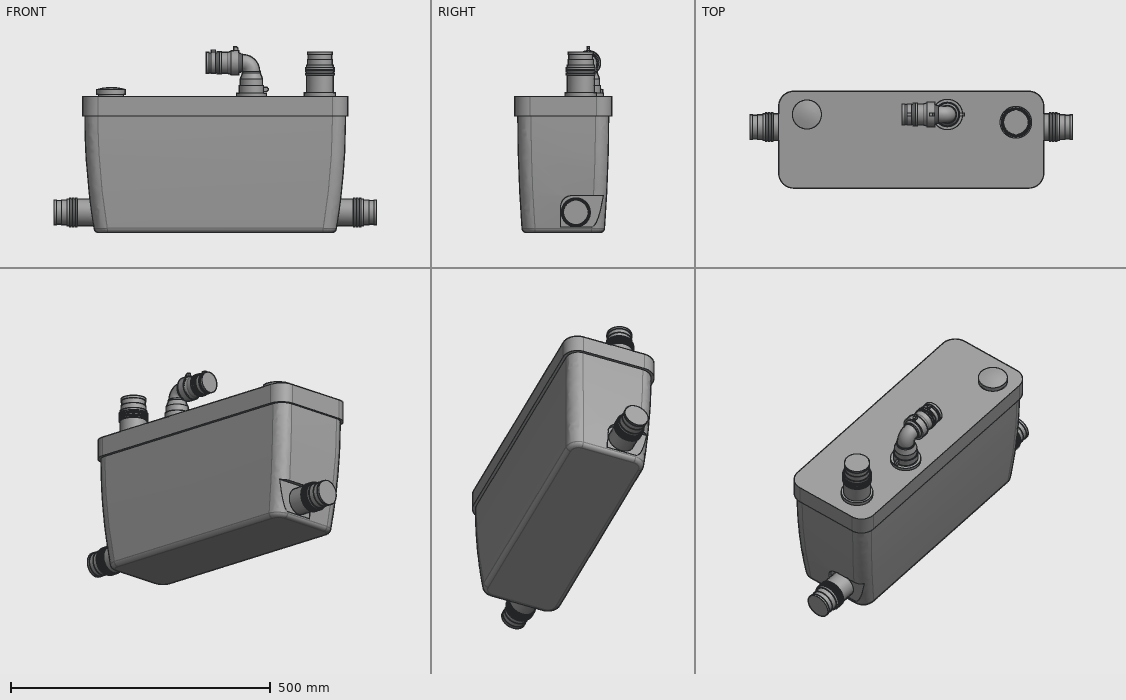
import cadquery as cq
import math

OVERALL_LENGTH = 622.0

LID_LENGTH = 511.0
LID_DEPTH = 187.0
LID_BOTTOM_Z = 224.5
LID_TOP_Z = 262.5
LID_CORNER_RADIUS = 30.0

TANK_TOP_LENGTH = 502.5
TANK_TOP_DEPTH = 175.5
END_WALL_INSET = 19.0
SIDE_WALL_INSET = 9.0
TANK_CORNER_RADIUS = 25.5
FLOOR_FILLET = 9.5

PIPE_RADIUS = 26.0
SIDE_INLET_Y = 24.0
SIDE_INLET_Z = 39.0
RECESS_FLOOR_X = 234.0
RECESS_EDGE_Y = -5.0
RECESS_BOTTOM_Z = 11.0
RECESS_TOP_Z = 71.5
RECESS_CORNER_RADIUS = 22.0
TOP_INLET_X = 201.5
TOP_INLET_Y = 33.5
TOP_INLET_TIP_Z = 348.5
INLET_COLLAR_RADIUS = 30.5
INLET_COLLAR_HEIGHT = 7.5

SLEEVE_LENGTH = 46.0
SLEEVE_RADIUS = 24.0
SLEEVE_NECK_RADIUS = 23.0
SLEEVE_LIP_LENGTH = 5.0
SLEEVE_NECK_END = 15.0
SLEEVE_SHOULDER = 25.5
SLEEVE_RIB_RADIUS = 28.0
SLEEVE_RIB_WIDTH = 3.0
SLEEVE_RIB_START = 30.5
SLEEVE_RIB_PITCH = 5.5
SLEEVE_RIB_COUNT = 3

CAP_X = -201.0
CAP_Y = 48.5
CAP_NECK_RADIUS = 24.0
CAP_NECK_HEIGHT = 4.0
CAP_RADIUS = 28.0
CAP_RIM_HEIGHT = 9.5
CAP_DOME_HEIGHT = 4.5

ELBOW_X = 69.5
ELBOW_Y = CAP_Y
ELBOW_AXIS_Z = 327.0
ELBOW_COLLAR_RADIUS = 29.0
ELBOW_COLLAR_HEIGHT = 6.0
BEND_RADIUS = 17.0
BEND_TUBE_RADIUS = 16.0
BEND_RING_RADIUS = 17.5
BEND_RING_LENGTH = 3.0
ELBOW_BASE_RADIUS = 22.0
ELBOW_BASE_TOP_Z = 296.0
ELBOW_MOUTH_RADIUS = 20.0
ELBOW_MOUTH_X = 30.5

VALVE_TIP_X = -17.5
VALVE_RADIUS = 20.5
VALVE_NECK_RADIUS = 19.0
VALVE_LIP_LENGTH = 5.5
VALVE_BAND_RADIUS = 22.0
VALVE_BAND_START_X = 3.0
VALVE_BAND_LENGTH = 9.5
VALVE_BAND_GROOVE_WIDTH = 1.0
VALVE_FLARE_X = 23.5
VALVE_FLARE_RADIUS = 22.5
VALVE_LUG_START_X = -8.0
VALVE_LUG_LENGTH = 9.0
VALVE_LUG_TOP_Z = 352.0

CLAMP_RADIUS = 23.5
CLAMP_WIDTH = 15.0
LUG_THICKNESS = 5.0
LUG_LENGTH = 9.0
LUG_CHAMFER = 3.0
BASE_LUG_REACH = 33.0
MOUTH_LUG_REACH = 31.0
MOUTH_LUG_OFFSET = 2.0

LID_COLLAR_TOP_Z = LID_TOP_Z + ELBOW_COLLAR_HEIGHT
SLEEVE_INNER_END_X = OVERALL_LENGTH / 2 - SLEEVE_LENGTH
TOP_PIPE_END_Z = TOP_INLET_TIP_Z - SLEEVE_LENGTH
END_SIDES = (-1, 1)


def disc(x, y, bottom_z, radius, height):
    """An upright cylinder."""
    return cq.Workplane("XY", origin=(x, y, bottom_z)).circle(radius).extrude(height)


def rod_along_x(start_x, y, z, radius, length):
    """A cylinder along X; a negative length points it toward -X."""
    return cq.Workplane("YZ", origin=(start_x, y, z)).circle(radius).extrude(length)


def wall_profile(plane, top_width, inset, extrusion_length):
    """A slab whose two walls are arcs, vertical under the lid and leaning in at the floor."""
    half_top = top_width / 2
    arc_radius = (LID_BOTTOM_Z**2 + inset**2) / (2 * inset)
    mid_inset = arc_radius - math.sqrt(arc_radius**2 - (LID_BOTTOM_Z / 2) ** 2)
    mid_z = LID_BOTTOM_Z / 2
    return (
        cq.Workplane(plane)
        .moveTo(-half_top, LID_BOTTOM_Z)
        .lineTo(half_top, LID_BOTTOM_Z)
        .threePointArc((half_top - mid_inset, mid_z), (half_top - inset, 0))
        .lineTo(inset - half_top, 0)
        .threePointArc((mid_inset - half_top, mid_z), (-half_top, LID_BOTTOM_Z))
        .close()
        .extrude(extrusion_length / 2, both=True)
    )


def make_inlet_recess(side):
    """The block cut from one end wall, open toward +Y and outward."""
    outward_depth = TANK_TOP_LENGTH / 2 - RECESS_FLOOR_X
    block = cq.Workplane("XY").box(
        outward_depth,
        TANK_TOP_DEPTH / 2 - RECESS_EDGE_Y,
        RECESS_TOP_Z - RECESS_BOTTOM_Z,
        centered=(True, False, False),
    )
    block = block.edges("<Y and >Z").fillet(RECESS_CORNER_RADIUS)
    return block.translate(
        (side * (RECESS_FLOOR_X + outward_depth / 2), RECESS_EDGE_Y, RECESS_BOTTOM_Z)
    )


def make_tank():
    """The tank with its rounded corners, inlet recesses and side inlet stubs."""
    depth_profile = wall_profile("YZ", TANK_TOP_DEPTH, SIDE_WALL_INSET, TANK_TOP_LENGTH)
    tank = wall_profile("XZ", TANK_TOP_LENGTH, END_WALL_INSET, TANK_TOP_DEPTH).intersect(depth_profile)
    tank = tank.edges("not(#Z or |X or |Y)").fillet(TANK_CORNER_RADIUS)
    tank = tank.faces("<Z").edges().fillet(FLOOR_FILLET)
    stub_length = SLEEVE_INNER_END_X - RECESS_FLOOR_X
    for side in END_SIDES:
        tank = tank.cut(make_inlet_recess(side))
        stub = rod_along_x(
            side * RECESS_FLOOR_X,
            SIDE_INLET_Y,
            SIDE_INLET_Z,
            PIPE_RADIUS,
            side * stub_length,
        )
        tank = tank.union(stub)
    return tank


def make_lid():
    """The lid with the collars of the elbow and top inlet, and the top inlet pipe."""
    lid = (
        cq.Workplane("XY", origin=(0, 0, LID_BOTTOM_Z))
        .rect(LID_LENGTH, LID_DEPTH)
        .extrude(LID_TOP_Z - LID_BOTTOM_Z)
        .edges("|Z")
        .fillet(LID_CORNER_RADIUS)
    )
    inlet_collar = disc(TOP_INLET_X, TOP_INLET_Y, LID_TOP_Z, INLET_COLLAR_RADIUS, INLET_COLLAR_HEIGHT)
    inlet_pipe = disc(TOP_INLET_X, TOP_INLET_Y, LID_TOP_Z, PIPE_RADIUS, TOP_PIPE_END_Z - LID_TOP_Z)
    elbow_collar = disc(ELBOW_X, ELBOW_Y, LID_TOP_Z, ELBOW_COLLAR_RADIUS, ELBOW_COLLAR_HEIGHT)
    return lid.union(inlet_collar).union(inlet_pipe).union(elbow_collar)


def make_sleeve():
    """A hose sleeve along Z, with its pipe end at Z = 0 and its free end on top."""
    neck_bottom = SLEEVE_LENGTH - SLEEVE_NECK_END
    lip_bottom = SLEEVE_LENGTH - SLEEVE_LIP_LENGTH
    shoulder = SLEEVE_LENGTH - SLEEVE_SHOULDER
    sleeve = disc(0, 0, 0, PIPE_RADIUS, shoulder)
    sleeve = sleeve.union(disc(0, 0, shoulder, SLEEVE_RADIUS, neck_bottom - shoulder))
    sleeve = sleeve.union(disc(0, 0, neck_bottom, SLEEVE_NECK_RADIUS, lip_bottom - neck_bottom))
    sleeve = sleeve.union(disc(0, 0, lip_bottom, SLEEVE_RADIUS, SLEEVE_LIP_LENGTH))
    for index in range(SLEEVE_RIB_COUNT):
        rib_top = SLEEVE_LENGTH - SLEEVE_RIB_START - index * SLEEVE_RIB_PITCH
        rib = disc(0, 0, rib_top - SLEEVE_RIB_WIDTH, SLEEVE_RIB_RADIUS, SLEEVE_RIB_WIDTH)
        sleeve = sleeve.union(rib)
    return sleeve


def make_sleeves():
    """One sleeve on the top inlet and one on each side inlet, pointing outward."""
    sleeves = [make_sleeve().translate((TOP_INLET_X, TOP_INLET_Y, TOP_PIPE_END_Z))]
    for side in END_SIDES:
        sleeve = make_sleeve().rotate((0, 0, 0), (0, 1, 0), side * 90)
        sleeves.append(sleeve.translate((side * SLEEVE_INNER_END_X, SIDE_INLET_Y, SIDE_INLET_Z)))
    return sleeves


def make_vent_cap():
    """A disc on a narrower neck, closed by a shallow dome."""
    rim_top = CAP_NECK_HEIGHT + CAP_RIM_HEIGHT
    dome_top = rim_top + CAP_DOME_HEIGHT
    sphere_radius = (CAP_RADIUS**2 + CAP_DOME_HEIGHT**2) / (2 * CAP_DOME_HEIGHT)
    mid_radius = CAP_RADIUS / 2
    mid_z = dome_top - sphere_radius + math.sqrt(sphere_radius**2 - mid_radius**2)
    return (
        cq.Workplane("XZ")
        .lineTo(CAP_NECK_RADIUS, 0)
        .lineTo(CAP_NECK_RADIUS, CAP_NECK_HEIGHT)
        .lineTo(CAP_RADIUS, CAP_NECK_HEIGHT)
        .lineTo(CAP_RADIUS, rim_top)
        .threePointArc((mid_radius, mid_z), (0, dome_top))
        .close()
        .revolve(360, (0, 0, 0), (0, 1, 0))
        .translate((CAP_X, CAP_Y, LID_TOP_Z))
    )


def make_elbow():
    """A solid quarter bend from an upright base to a mouth facing -X."""
    bend_start_z = ELBOW_AXIS_Z - BEND_RADIUS
    bend_end_x = ELBOW_X - BEND_RADIUS
    ring_bottom_z = bend_start_z - BEND_RING_LENGTH
    ring_end_x = bend_end_x - BEND_RING_LENGTH
    mouth_taper_x = ELBOW_MOUTH_X + CLAMP_WIDTH

    base = (
        cq.Workplane("XZ", origin=(ELBOW_X, ELBOW_Y, 0))
        .moveTo(0, LID_COLLAR_TOP_Z)
        .lineTo(ELBOW_BASE_RADIUS, LID_COLLAR_TOP_Z)
        .lineTo(ELBOW_BASE_RADIUS, ELBOW_BASE_TOP_Z)
        .lineTo(BEND_RING_RADIUS, ring_bottom_z)
        .lineTo(BEND_RING_RADIUS, bend_start_z)
        .lineTo(0, bend_start_z)
        .close()
        .revolve(360, (0, 0, 0), (0, 1, 0))
    )
    bend = (
        cq.Workplane("XY", origin=(ELBOW_X, ELBOW_Y, bend_start_z))
        .circle(BEND_TUBE_RADIUS)
        .revolve(90, (-BEND_RADIUS, 0, 0), (-BEND_RADIUS, -1, 0))
    )
    mouth = (
        cq.Workplane("XZ", origin=(0, ELBOW_Y, ELBOW_AXIS_Z))
        .moveTo(ELBOW_MOUTH_X, 0)
        .lineTo(ELBOW_MOUTH_X, ELBOW_MOUTH_RADIUS)
        .lineTo(mouth_taper_x, ELBOW_MOUTH_RADIUS)
        .lineTo(ring_end_x, BEND_RING_RADIUS)
        .lineTo(bend_end_x, BEND_RING_RADIUS)
        .lineTo(bend_end_x, 0)
        .close()
        .revolve(360, (0, 0, 0), (1, 0, 0))
    )
    return base.union(bend).union(mouth)


def make_valve():
    """The discharge valve on the elbow mouth: a lip, a strap with a lug, a grooved band and a flare."""
    lip_end_x = VALVE_TIP_X + VALVE_LIP_LENGTH
    band_end_x = VALVE_BAND_START_X + VALVE_BAND_LENGTH
    rib_length = (VALVE_BAND_LENGTH - VALVE_BAND_GROOVE_WIDTH) / 2
    valve = (
        cq.Workplane("XZ", origin=(0, ELBOW_Y, ELBOW_AXIS_Z))
        .moveTo(VALVE_TIP_X, 0)
        .lineTo(VALVE_TIP_X, VALVE_RADIUS)
        .lineTo(lip_end_x, VALVE_RADIUS)
        .lineTo(lip_end_x, VALVE_NECK_RADIUS)
        .lineTo(VALVE_BAND_START_X, VALVE_NECK_RADIUS)
        .lineTo(VALVE_BAND_START_X, VALVE_RADIUS)
        .lineTo(VALVE_FLARE_X, VALVE_RADIUS)
        .lineTo(ELBOW_MOUTH_X, VALVE_FLARE_RADIUS)
        .lineTo(ELBOW_MOUTH_X, 0)
        .close()
        .revolve(360, (0, 0, 0), (1, 0, 0))
    )
    for rib_start_x in (VALVE_BAND_START_X, band_end_x - rib_length):
        rib = rod_along_x(rib_start_x, ELBOW_Y, ELBOW_AXIS_Z, VALVE_BAND_RADIUS, rib_length)
        valve = valve.union(rib)
    strap = rod_along_x(VALVE_LUG_START_X, ELBOW_Y, ELBOW_AXIS_Z, VALVE_RADIUS, VALVE_LUG_LENGTH)
    lug = (
        cq.Workplane("XY", origin=(VALVE_LUG_START_X, ELBOW_Y, ELBOW_AXIS_Z))
        .box(
            VALVE_LUG_LENGTH,
            LUG_THICKNESS,
            VALVE_LUG_TOP_Z - ELBOW_AXIS_Z,
            centered=(False, True, False),
        )
    )
    return valve.union(strap).union(lug)


def make_clamp(inner_radius, lug_reach, lug_z, chamfered_edges):
    """A clamp band around Z from Z = 0, with its screw lug toward +X."""
    lug = (
        cq.Workplane("XY", origin=(0, 0, lug_z))
        .box(lug_reach, LUG_THICKNESS, LUG_LENGTH, centered=(False, True, True))
        .edges(chamfered_edges)
        .chamfer(LUG_CHAMFER)
    )
    bore = disc(0, 0, 0, inner_radius, CLAMP_WIDTH)
    return disc(0, 0, 0, CLAMP_RADIUS, CLAMP_WIDTH).union(lug).cut(bore)


def make_base_clamp():
    """The clamp around the elbow base, resting on the lid collar."""
    clamp = make_clamp(ELBOW_BASE_RADIUS, BASE_LUG_REACH, CLAMP_WIDTH / 2, ">X and |Y")
    return clamp.translate((ELBOW_X, ELBOW_Y, LID_COLLAR_TOP_Z))


def make_mouth_clamp():
    """The clamp turned so that its axis runs along X and its lug points up."""
    lug_z = CLAMP_WIDTH / 2 - MOUTH_LUG_OFFSET
    clamp = make_clamp(ELBOW_MOUTH_RADIUS, MOUTH_LUG_REACH, lug_z, ">X and <Z")
    clamp = clamp.rotate((0, 0, 0), (0, 1, 0), -90)
    return clamp.translate((ELBOW_MOUTH_X + CLAMP_WIDTH, ELBOW_Y, ELBOW_AXIS_Z))


tank = make_tank()
lid = make_lid()
sleeves = make_sleeves()
vent_cap = make_vent_cap()
elbow = make_elbow()
valve = make_valve()
base_clamp = make_base_clamp()
mouth_clamp = make_mouth_clamp()

result = cq.Compound.makeCompound(
    [
        tank.val(),
        lid.val(),
        *[sleeve.val() for sleeve in sleeves],
        vent_cap.val(),
        elbow.val(),
        valve.val(),
        base_clamp.val(),
        mouth_clamp.val(),
    ]
)